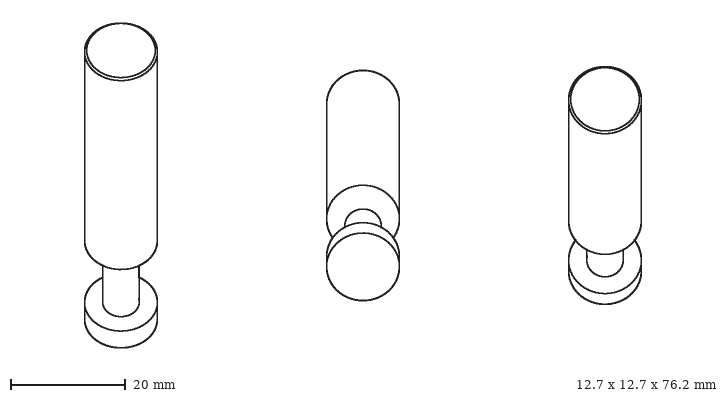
import cadquery as cq

length = 76.2
body_diameter = 12.7
top_chamfer = 0.4

foot_height = 4.8
neck_diameter = body_diameter / 2
body_start = 22.25

body_radius = body_diameter / 2
neck_radius = neck_diameter / 2
shoulder_height = body_radius - neck_radius
neck_end = body_start - shoulder_height

profile = [
    (0, 0),
    (body_radius, 0),
    (body_radius, foot_height),
    (neck_radius, foot_height),
    (neck_radius, neck_end),
    (body_radius, body_start),
    (body_radius, length - top_chamfer),
    (body_radius - top_chamfer, length),
    (0, length),
]

result = cq.Workplane("XZ").polyline(profile).close().revolve(360, (0, 0), (0, 1))